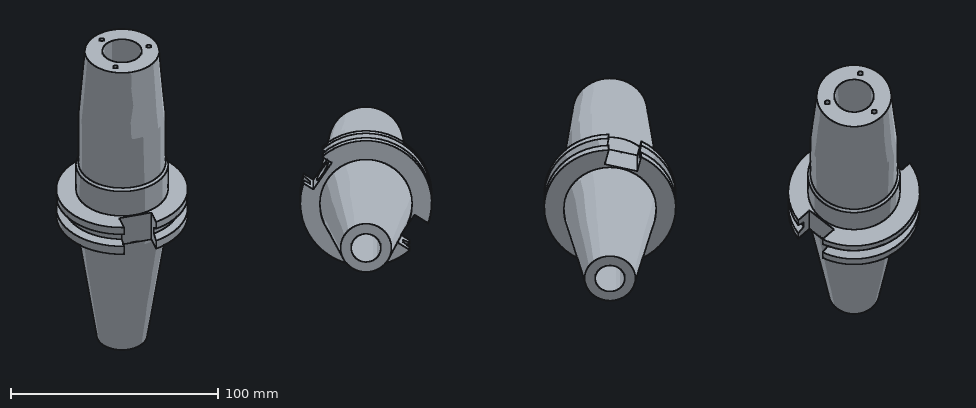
import cadquery as cq

total_length = 169.8
gauge_height = 68.5
gauge_radius = 22.3
taper_ratio = 7 / 24
shank_end_radius = gauge_radius - gauge_height * taper_ratio / 2

flange_radius = 31.8
flange_bottom = 71.5
flange_top = 87.5
groove_radius = 28.0
lower_groove_edge = 76.3
groove_floor_bottom = 77.8
groove_floor_top = 81.2
upper_groove_edge = 83.4

collar_radius = 22.3
collar_top = 103.3
nose_radius = 21.0
collar_chamfer = collar_radius - nose_radius
nose_taper_start = 132.0
nose_end_radius = 18.0

through_radius = 7.1
tool_bore_radius = 9.5
tool_bore_depth = 51.0

coolant_count = 3
coolant_radius = 1.2
coolant_circle_radius = 13.5
coolant_depth = 17.0

slot_width = 16.1
left_slot_floor = 25.1
right_slot_floor = 22.8
flange_middle = (flange_bottom + flange_top) / 2
flange_thickness = flange_top - flange_bottom

recess_radius = 5.0
recess_depth = 6.8


def turned_body():
    """Solid of revolution about Z, from the small taper end up to the nose."""
    profile = [
        (0, 0),
        (shank_end_radius, 0),
        (gauge_radius, gauge_height),
        (gauge_radius, flange_bottom),
        (flange_radius, flange_bottom),
        (flange_radius, lower_groove_edge),
        (groove_radius, groove_floor_bottom),
        (groove_radius, groove_floor_top),
        (flange_radius, upper_groove_edge),
        (flange_radius, flange_top),
        (collar_radius, flange_top),
        (collar_radius, collar_top - collar_chamfer),
        (nose_radius, collar_top),
        (nose_radius, nose_taper_start),
        (nose_end_radius, total_length),
        (0, total_length),
    ]
    return cq.Workplane("XZ").polyline(profile).close().revolve(360, (0, 0), (0, 1))


def axial_bores():
    """Through bore with the wider tool bore at the nose."""
    through = cq.Workplane("XY").circle(through_radius).extrude(total_length)
    tool_bore = (
        cq.Workplane("XY", origin=(0, 0, total_length))
        .circle(tool_bore_radius)
        .extrude(-tool_bore_depth)
    )
    return through.union(tool_bore)


def coolant_holes():
    """Blind holes spaced evenly round the nose face, the first one toward +Y."""
    return (
        cq.Workplane("XY", origin=(0, 0, total_length))
        .polarArray(coolant_circle_radius, 90, 360, coolant_count)
        .circle(coolant_radius)
        .extrude(-coolant_depth)
    )


def drive_slot(side, floor):
    """Slot cutter from the floor distance outward; side is -1 for -X and 1 for +X."""
    return (
        cq.Workplane("YZ", origin=(side * floor, 0, flange_middle))
        .rect(slot_width, flange_thickness)
        .extrude(side * flange_radius)
    )


def slot_recess():
    """Blind round recess running inward from the left slot floor."""
    return (
        cq.Workplane("YZ", origin=(-left_slot_floor, 0, flange_middle))
        .circle(recess_radius)
        .extrude(recess_depth)
    )


result = (
    turned_body()
    .cut(axial_bores())
    .cut(coolant_holes())
    .cut(drive_slot(-1, left_slot_floor))
    .cut(drive_slot(1, right_slot_floor))
    .cut(slot_recess())
)